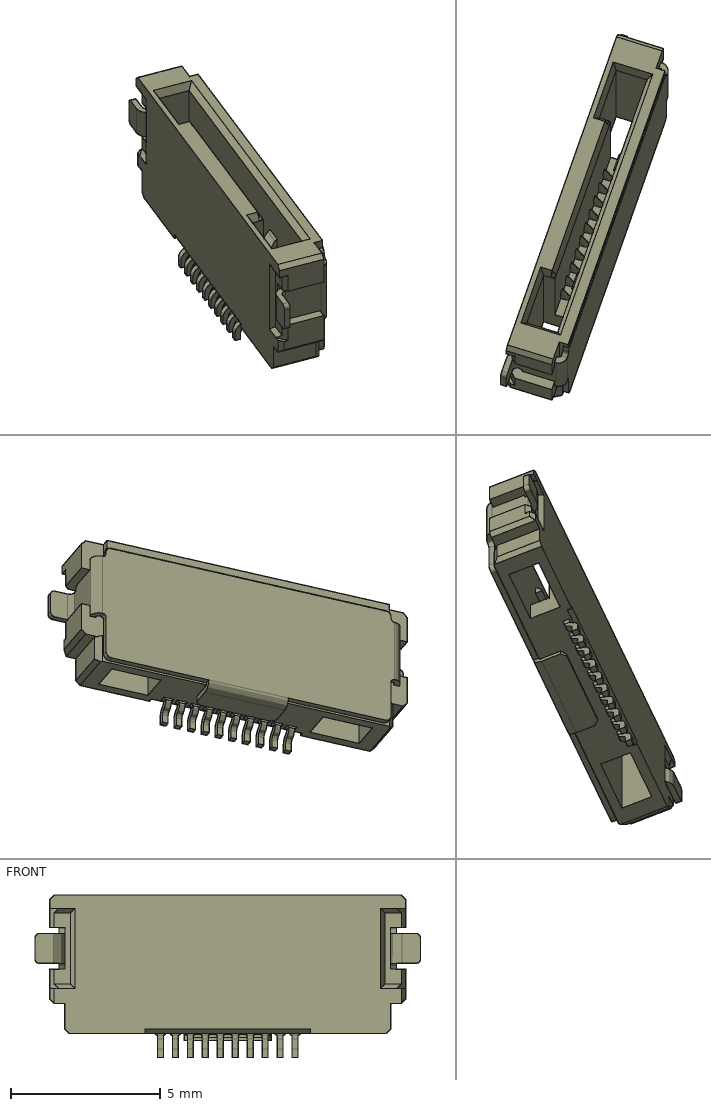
import cadquery as cq
import math


total_length = 12.9
total_depth = 2.0
sheet = 0.2
edge_chamfer = 0.15

front_y = 0.04
lip_y = total_depth - 0.04
recess_y = total_depth - sheet
flank_y = 1.65
body_height = 4.65
body_half = 5.96
shoulder_z = 1.0
foot_half = 5.46
spine_half = 5.16
foot_rear_chamfer = 0.2
front_bevel_half = 2.76

cavity_half = 4.76
cavity_front_y = 0.37
cavity_rear_y = 1.46
key_half = 2.97
key_y = 0.77
lead_in_taper = 30.0
floor_z = shoulder_z
latch_inner_x = 1.94
latch_outer_x = 2.53
latch_depth = 0.25
latch_bottom_z = 2.7
latch_top_z = 3.1
latch_shoulder_z = 3.03
latch_shoulder_depth = 0.08
latch_bulge_radius = 1.03

clip_z = 2.85
pocket_half_height = 1.34
pocket_inner_x = 5.11
pocket_wall_taper = 45.0
strip_outer_x = 5.65
strip_inner_x = strip_outer_x - sheet
arm_half_height = 1.11
strip_half_height = 0.7
tab_half_height = 0.5
shoulder_y = 0.52
shoulder_radius = 0.15
rear_bend_radius = 0.31
tab_bend_radius = 0.39
tab_corner_radius = 0.15

plate_half = 5.21
plate_top_z = 4.35
plate_corner_radius = 0.2
arm_root_radius = 0.14
lower_tab_half = 1.46
lower_tab_bottom_z = -0.23
lower_tab_end_y = 0.85
lower_tab_corner = 0.15
lower_tab_bevel = 0.1

contact_count = 10
contact_row_length = 4.5
contact_pitch = contact_row_length / (contact_count - 1)
contact_width = 0.2
leg_bottom_z = -0.8
leg_rear_y = 0.49
leg_bend_angle = 62.0
root_width = 0.37
root_height = 0.08
nose_y = 1.07
nose_root_y = 0.52
nose_top_z = 1.55


def box(x0, x1, y0, y1, z0, z1):
    return cq.Workplane("XY").box(x1 - x0, y1 - y0, z1 - z0, centered=False).translate((x0, y0, z0))


def both_sides(right_side):
    return right_side.union(right_side.mirror("YZ"))


def extrude_along_y(sketch_xz, y0, y1):
    """Extrude an outline drawn on the "XZ" workplane from y0 to y1."""
    return sketch_xz.extrude(-(y1 - y0)).translate((0, y0, 0))


def make_foot():
    foot = box(-foot_half, foot_half, front_y, recess_y, 0, shoulder_z)
    foot = foot.edges("|Z and >Y").chamfer(foot_rear_chamfer)
    return foot.faces("<X or >X").edges("<Z").chamfer(edge_chamfer)


def make_housing():
    flanks = box(-body_half, body_half, front_y, flank_y, shoulder_z, body_height)
    flanks = flanks.edges("|Y").chamfer(edge_chamfer)
    spine = box(-spine_half, spine_half, front_y, recess_y, shoulder_z, body_height)
    lip = box(-spine_half, spine_half, flank_y, lip_y, plate_top_z, body_height)
    return flanks.union(spine).union(lip).union(make_foot())


def make_front_bevel():
    """Bevel on the lower front edge, above the contact legs."""
    return (
        cq.Workplane("YZ")
        .polyline([(front_y, 0), (front_y + edge_chamfer, 0), (front_y, edge_chamfer)])
        .close()
        .extrude(front_bevel_half, both=True)
    )


def cavity_outline(plane, grow):
    """Mouth outline with the key step on its front side, enlarged outwards by grow."""
    return plane.polyline([
        (-cavity_half - grow, cavity_rear_y + grow),
        (-cavity_half - grow, cavity_front_y - grow),
        (-key_half + grow, cavity_front_y - grow),
        (-key_half + grow, key_y - grow),
        (key_half - grow, key_y - grow),
        (key_half - grow, cavity_front_y - grow),
        (cavity_half + grow, cavity_front_y - grow),
        (cavity_half + grow, cavity_rear_y + grow),
    ]).close()


def make_cavity():
    """Mouth with a tapered lead-in; its two ends run through the bottom beside the floor."""
    shaft = cavity_outline(cq.Workplane("XY"), 0).extrude(body_height)
    lead_in = cavity_outline(cq.Workplane("XY", origin=(0, 0, body_height)), edge_chamfer)
    lead_in_depth = edge_chamfer / math.tan(math.radians(lead_in_taper))
    lead_in = lead_in.extrude(-lead_in_depth, taper=lead_in_taper)
    floor = box(-key_half, key_half, cavity_front_y, cavity_rear_y, 0, floor_z)
    return shaft.cut(floor).union(lead_in)


def make_latch():
    """Ramp on the rear wall of the cavity: a short slope, then a bulging face down to its catch."""
    return (
        cq.Workplane("YZ", origin=(latch_inner_x, 0, 0))
        .moveTo(cavity_rear_y, latch_bottom_z)
        .lineTo(cavity_rear_y, latch_top_z)
        .lineTo(cavity_rear_y - latch_shoulder_depth, latch_shoulder_z)
        .radiusArc((cavity_rear_y - latch_depth, latch_bottom_z), -latch_bulge_radius)
        .close()
        .extrude(latch_outer_x - latch_inner_x)
    )


def corner_cut(depth, z0, z1):
    """Wedge that bevels the front corner of a flank, starting at the given depth."""
    return (
        cq.Workplane("XY", origin=(0, 0, z0))
        .polyline([
            (body_half, front_y),
            (body_half, front_y + depth),
            (body_half - depth, front_y),
        ])
        .close()
        .extrude(z1 - z0)
    )


def make_side_pocket():
    """Sloped front pocket, bevelled front corner and through slot for one clip."""
    pocket_width = 2 * (body_half + 2 * edge_chamfer - pocket_inner_x)
    pocket = (
        cq.Workplane("XZ", origin=(pocket_inner_x + pocket_width / 2, front_y, clip_z))
        .rect(pocket_width, 2 * pocket_half_height)
        .extrude(-edge_chamfer, taper=pocket_wall_taper)
    )
    pocket_bottom_z = clip_z - pocket_half_height
    pocket_top_z = clip_z + pocket_half_height
    pocket_corner = corner_cut(2 * edge_chamfer, pocket_bottom_z, pocket_top_z)
    lower_corner = corner_cut(edge_chamfer, shoulder_z, pocket_bottom_z)
    slot = box(
        strip_inner_x, body_half, front_y, flank_y, clip_z - strip_half_height, clip_z + strip_half_height
    )
    return pocket.union(pocket_corner).union(lower_corner).union(slot)


def clip_silhouette():
    """Clip seen along X: wide arm, slot-wide strip and narrow solder tab."""
    half = (
        cq.Workplane("YZ", origin=(0, 0, clip_z))
        .moveTo(total_depth, 0)
        .lineTo(total_depth, arm_half_height)
        .lineTo(flank_y, arm_half_height)
        .lineTo(flank_y, strip_half_height)
        .lineTo(shoulder_y, strip_half_height)
        .lineTo(shoulder_y, tab_half_height + shoulder_radius)
        .radiusArc((shoulder_y - shoulder_radius, tab_half_height), shoulder_radius)
        .lineTo(0, tab_half_height)
        .lineTo(0, 0)
        .close()
        .extrude(total_length / 2)
    )
    return half.union(half.mirror("XY", (0, 0, clip_z)))


def make_clip():
    """Sheet bent from the cover around the flank, through its slot and out to a solder tab."""
    rear_inner = rear_bend_radius - sheet
    tab_inner = tab_bend_radius - sheet
    rear_x = strip_outer_x - rear_bend_radius
    rear_y = total_depth - rear_bend_radius
    tab_x = strip_inner_x + tab_bend_radius
    strip = (
        cq.Workplane("XY", origin=(0, 0, clip_z))
        .moveTo(spine_half, total_depth)
        .lineTo(rear_x, total_depth)
        .radiusArc((strip_outer_x, rear_y), rear_bend_radius)
        .lineTo(strip_outer_x, tab_bend_radius)
        .radiusArc((tab_x, sheet), -tab_inner)
        .lineTo(total_length / 2, sheet)
        .lineTo(total_length / 2, 0)
        .lineTo(tab_x, 0)
        .radiusArc((strip_inner_x, tab_bend_radius), tab_bend_radius)
        .lineTo(strip_inner_x, rear_y)
        .radiusArc((rear_x, recess_y), -rear_inner)
        .lineTo(spine_half, recess_y)
        .close()
        .extrude(arm_half_height, both=True)
    )
    return strip.intersect(clip_silhouette()).edges("|Y and >X").fillet(tab_corner_radius)


def arm_root(side):
    """Concave fillet between the plate edge and the upper (1) or lower (-1) edge of an arm."""
    edge_z = clip_z + side * arm_half_height
    sketch = (
        cq.Workplane("XZ")
        .moveTo(plate_half, edge_z)
        .lineTo(plate_half + arm_root_radius, edge_z)
        .radiusArc((plate_half, edge_z + side * arm_root_radius), side * arm_root_radius)
        .close()
    )
    return extrude_along_y(sketch, recess_y, total_depth)


def make_plate():
    """Cover plate on the rear face, down to where its lower tab starts to bend."""
    bottom_z = lower_tab_bottom_z + rear_bend_radius
    plate = box(-plate_half, plate_half, recess_y, total_depth, bottom_z, plate_top_z)
    return plate.edges("|Y").fillet(plate_corner_radius)


def make_lower_tab():
    """Tab bent from the plate under the housing, with a bevelled end."""
    inner_radius = rear_bend_radius - sheet
    bend_y = total_depth - rear_bend_radius
    bend_z = lower_tab_bottom_z + rear_bend_radius
    top_z = lower_tab_bottom_z + sheet
    tab = (
        cq.Workplane("YZ")
        .moveTo(total_depth, bend_z)
        .radiusArc((bend_y, lower_tab_bottom_z), rear_bend_radius)
        .lineTo(lower_tab_end_y, lower_tab_bottom_z)
        .lineTo(lower_tab_end_y, top_z)
        .lineTo(bend_y, top_z)
        .radiusArc((recess_y, bend_z), -inner_radius)
        .close()
        .extrude(lower_tab_half, both=True)
    )
    tab = tab.edges("|Z and <Y").chamfer(lower_tab_corner)
    return tab.faces("<Y").edges(">Z").chamfer(lower_tab_bevel)


def make_leg():
    """Contact leg: down from the floor, two opposite bends towards the board, then down again."""
    angle = math.radians(leg_bend_angle)
    bend_radius = (leg_rear_y - sheet) / (2 * (1 - math.cos(angle)))
    bend_drop = bend_radius * math.sin(angle)
    centre_y = leg_rear_y - sheet / 2
    middle_y = (centre_y + sheet / 2) / 2
    straight_z = -root_height / 2
    path = (
        cq.Workplane("YZ")
        .moveTo(centre_y, floor_z / 2)
        .lineTo(centre_y, straight_z)
        .radiusArc((middle_y, straight_z - bend_drop), bend_radius)
        .radiusArc((sheet / 2, straight_z - 2 * bend_drop), -bend_radius)
        .lineTo(sheet / 2, leg_bottom_z)
    )
    section = cq.Workplane("XY", origin=(0, centre_y, floor_z / 2)).rect(contact_width, sheet)
    return section.sweep(path)


def make_root():
    """Tapered collar where a leg leaves the housing."""
    sketch = cq.Workplane("XZ").polyline([
        (-root_width / 2, 0),
        (root_width / 2, 0),
        (contact_width / 2, -root_height),
        (-contact_width / 2, -root_height),
    ]).close()
    return extrude_along_y(sketch, leg_rear_y - sheet, leg_rear_y)


def nose_section(tip_y, z):
    """Round-ended section of a contact beam, rooted in the key."""
    half = contact_width / 2
    return (
        cq.Workplane("XY", origin=(0, 0, z))
        .moveTo(-half, nose_root_y)
        .lineTo(-half, tip_y - half)
        .threePointArc((0, tip_y), (half, tip_y - half))
        .lineTo(half, nose_root_y)
        .close()
        .wire()
        .val()
    )


def make_nose():
    """Contact beam that rises from the cavity floor and leans back into the key."""
    foot = nose_section(nose_y, floor_z)
    top = nose_section(key_y, nose_top_z)
    return cq.Workplane(cq.Solid.makeLoft([foot, top], True))


def make_contacts():
    contact = make_leg().union(make_root()).union(make_nose())
    row = cq.Workplane("XY")
    for index in range(contact_count):
        x = (index - (contact_count - 1) / 2) * contact_pitch
        row = row.union(contact.translate((x, 0, 0)))
    return row


housing = (
    make_housing()
    .cut(make_front_bevel())
    .cut(make_cavity())
    .cut(both_sides(make_side_pocket()))
    .union(both_sides(make_latch()))
)
side_metal = make_clip().union(arm_root(1)).union(arm_root(-1))
cover = make_plate().union(make_lower_tab()).union(both_sides(side_metal))
result = housing.union(cover).union(make_contacts())